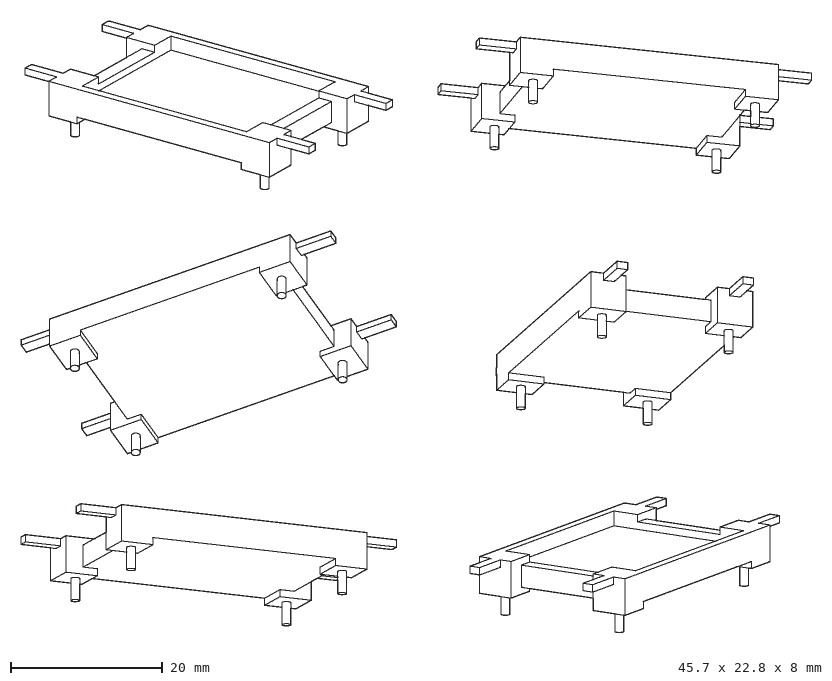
import cadquery as cq

lead_span = 45.7
body_length = 35.5
body_width = 22.8
body_height = 5.0

pocket_length = 26.4
pocket_width = 20.3
pocket_depth = 2.0
tray_length = 30.5
tray_underside = 4.0
end_wall_drop = 1.0

block_width = 5.0
pin_diameter = 1.2
pin_facets = 36
pin_length = 3.0
lead_width = 1.5
lead_height = 1.0
lead_pitch = 17.7

block_length = (body_length - pocket_length) / 2
block_x = (body_length - block_length) / 2
block_y = (body_width - block_width) / 2
rail_width = (body_width - pocket_width) / 2
rail_y = (body_width - rail_width) / 2
end_wall_height = tray_underside - end_wall_drop
pin_x = tray_length / 2
pin_y = block_y
SIDES = (-1, 1)


def box_below(length, width, height, x, y, top):
    """Box centred on (x, y) that hangs down from the given top level."""
    return cq.Workplane("XY").box(length, width, height).translate((x, y, top - height / 2))


def make_tray():
    """Solid slab between the side rails, as tall as the low end walls."""
    tray_width = body_width - rail_width
    return box_below(tray_length, tray_width, end_wall_height, 0, 0, body_height - end_wall_drop)


def make_side_rail(side):
    """Wall along one long edge of the tray, from the top face to the tray underside."""
    return box_below(body_length, rail_width, tray_underside, 0, side * rail_y, body_height)


def make_corner(x_side, y_side):
    """Corner block with a nearly round, many-sided pin under it."""
    block = box_below(block_length, block_width, body_height, x_side * block_x, y_side * block_y, body_height)
    pin = (
        cq.Workplane("XY")
        .center(x_side * pin_x, y_side * pin_y)
        .polygon(pin_facets, pin_diameter)
        .extrude(-pin_length)
    )
    return block.union(pin)


def make_leads(y_side):
    """Pair of flat leads in one line, flush with the top face and sticking out at both ends."""
    lead_length = (lead_span - pocket_length) / 2
    lead_x = (lead_span - lead_length) / 2
    leads = cq.Workplane("XY")
    for x_side in SIDES:
        leads = leads.union(
            box_below(lead_length, lead_width, lead_height, x_side * lead_x, y_side * lead_pitch / 2, body_height)
        )
    return leads


result = make_tray()
for y_side in SIDES:
    result = result.union(make_side_rail(y_side))
    for x_side in SIDES:
        result = result.union(make_corner(x_side, y_side))

result = result.cut(box_below(pocket_length, pocket_width, pocket_depth, 0, 0, body_height))

for y_side in SIDES:
    result = result.union(make_leads(y_side))